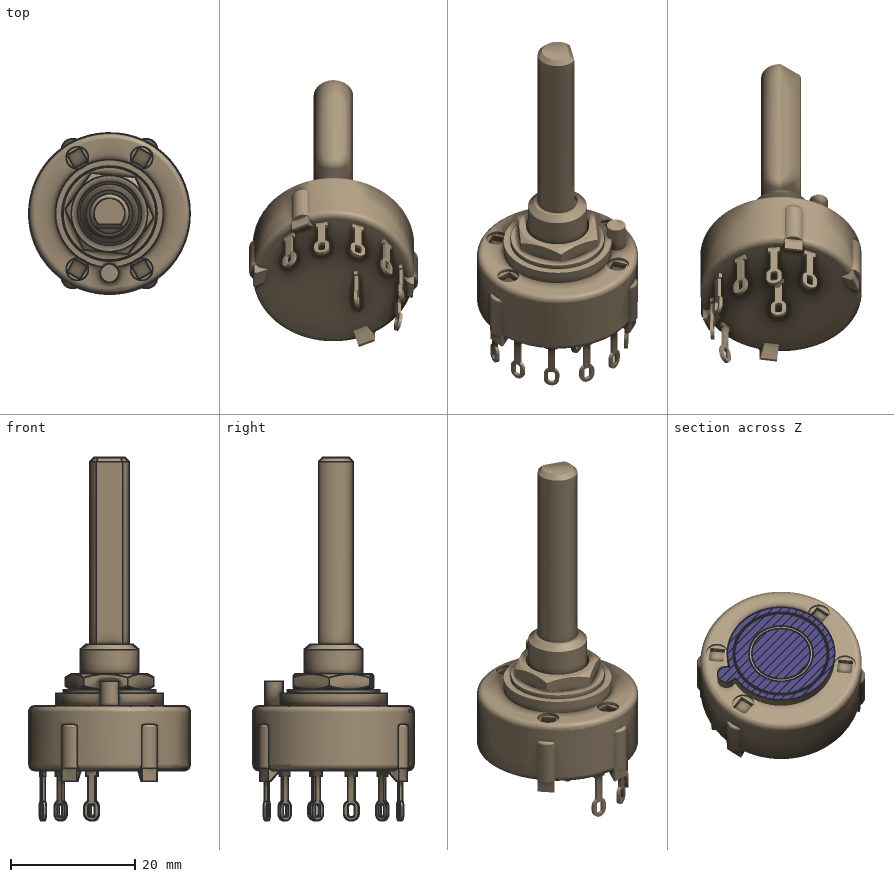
import cadquery as cq
import math


HOUSING_DIAMETER = 26.0
HOUSING_HEIGHT = 10.4
HOUSING_FILLET = 1.0
BOSS_DIAMETER = 17.4
BOSS_HEIGHT = 2.05
RECESS_DIAMETER = 15.3
RECESS_DEPTH = 0.5
BOSS_TOP = HOUSING_HEIGHT + BOSS_HEIGHT
RECESS_FLOOR = BOSS_TOP - RECESS_DEPTH

BUSHING_DIAMETER = 9.5
BUSHING_TOP = 20.35
BUSHING_CHAMFER = 1.0
BUSHING_CHAMFER_HEIGHT = 0.9
SHAFT_DIAMETER = 6.4
SHAFT_CHAMFER = 0.7
FLAT_DISTANCE = 2.4
FLAT_BELOW_BUSHING_TOP = 0.6

PIN_DIAMETER = 3.0
PIN_TOP = 14.4
PIN_RADIUS = 9.6

CORNER_ANGLE = 60
POCKET_RADIUS = 10.35
POCKET_DIAMETER = 3.55
POCKET_DEPTH = 0.5
SLOT_SIZE = 2.4
SLOT_DEPTH = 1.05
RIB_RADIUS = 11.8
RIB_DIAMETER = 3.6
RIB_BOTTOM = 0.35
RIB_TOP = 7.45
RIB_FILLET = 0.4
FOOT_RADIUS = 12.9
FOOT_WIDTH = 2.8
FOOT_DROP = 1.75
FOOT_TIP = 0.4
FOOT_ROOT = 2.5
FOOT_ROOT_INSET = 0.6

NUT_BORE = 10.25
WASHER_DIAMETER = 15.0
WASHER_THICKNESS = 1.1
NUT_THICKNESS = 2.5
NUT_CORNER_DIAMETER = 14.35
NUT_ROTATION = -5.5
NUT_CHAMFER_DIAMETER = 12.3
NUT_CHAMFER_ANGLE = 30

OUTER_COUNT = 6
OUTER_PITCH = 30
FIRST_OUTER_ANGLE = 105
OUTER_RADIUS = 11.1
COMMON_RADIUS = 3.8
COMMON_ANGLE = 225
TERMINAL_THICKNESS = 0.5
STEM_WIDTH = 1.1
SHOULDER_WIDTH = 1.9
SHOULDER_HEIGHT = 0.9
EYE_WIDTH = 2.45
EYE_HEIGHT = 3.3
EYE_HOLE_WIDTH = 1.1
EYE_HOLE_HEIGHT = 2.05
EYE_HOLE_CORNER = 0.35

OVERALL_HEIGHT = 58.5
TERMINAL_LENGTH = 8.1
SHAFT_TOP = OVERALL_HEIGHT - TERMINAL_LENGTH


def cylinder(diameter, bottom, top):
    return cq.Workplane("XY").workplane(offset=bottom).circle(diameter / 2).extrude(top - bottom)


def at_polar(shape, radius, angle):
    """Move a shape out along +X by radius, then swing it around Z."""
    return shape.translate((radius, 0, 0)).rotate((0, 0, 0), (0, 0, 1), angle)


def at_four_corners(shape):
    """A shape in the +X +Y corner and its mirror images in the other three."""
    pair = [shape, shape.mirror("YZ")]
    return pair + [side.mirror("XZ") for side in pair]


def make_shaft():
    bottom = BUSHING_TOP - FLAT_BELOW_BUSHING_TOP
    flat_cutter = (
        cq.Workplane("XY")
        .workplane(offset=bottom)
        .center(0, -FLAT_DISTANCE - SHAFT_DIAMETER / 2)
        .rect(2 * SHAFT_DIAMETER, SHAFT_DIAMETER)
        .extrude(SHAFT_TOP - bottom)
    )
    shaft = cylinder(SHAFT_DIAMETER, bottom, SHAFT_TOP).cut(flat_cutter)
    return shaft.faces(">Z").chamfer(SHAFT_CHAMFER)


def make_bushing():
    bore_bottom = BUSHING_TOP - FLAT_BELOW_BUSHING_TOP
    bushing = cylinder(BUSHING_DIAMETER, RECESS_FLOOR, BUSHING_TOP)
    bushing = bushing.faces(">Z").chamfer(BUSHING_CHAMFER_HEIGHT, BUSHING_CHAMFER)
    return bushing.cut(cylinder(SHAFT_DIAMETER, bore_bottom, BUSHING_TOP))


def make_rib():
    rib = cylinder(RIB_DIAMETER, RIB_BOTTOM, RIB_TOP)
    return rib.faces(">Z").edges().fillet(RIB_FILLET)


def make_foot():
    """Hook with an upright outer face and an inner face that slopes in toward the housing."""
    hook = (
        cq.Workplane("XZ")
        .moveTo(0, RIB_BOTTOM)
        .lineTo(0, -FOOT_DROP)
        .lineTo(-FOOT_TIP, -FOOT_DROP)
        .lineTo(-FOOT_ROOT, RIB_BOTTOM)
        .close()
        .extrude(FOOT_WIDTH / 2, both=True)
    )
    plan = (
        cq.Workplane("XY")
        .workplane(offset=-FOOT_DROP)
        .moveTo(0, -FOOT_WIDTH / 2)
        .lineTo(0, FOOT_WIDTH / 2)
        .lineTo(-FOOT_ROOT, FOOT_WIDTH / 2 - FOOT_ROOT_INSET)
        .lineTo(-FOOT_ROOT, -FOOT_WIDTH / 2)
        .close()
        .extrude(FOOT_DROP + RIB_BOTTOM)
    )
    return hook.intersect(plan)


def make_pocket():
    """Round counterbore with a square slot in its floor."""
    floor = HOUSING_HEIGHT - POCKET_DEPTH
    slot = (
        cq.Workplane("XY")
        .workplane(offset=floor - SLOT_DEPTH)
        .rect(SLOT_SIZE, SLOT_SIZE)
        .extrude(SLOT_DEPTH)
    )
    return cylinder(POCKET_DIAMETER, floor, HOUSING_HEIGHT).union(slot)


def make_housing():
    housing = cylinder(HOUSING_DIAMETER, 0, HOUSING_HEIGHT).edges().fillet(HOUSING_FILLET)
    rib = at_polar(make_rib(), RIB_RADIUS, CORNER_ANGLE)
    foot = at_polar(make_foot(), FOOT_RADIUS, CORNER_ANGLE)
    pocket = at_polar(make_pocket(), POCKET_RADIUS, CORNER_ANGLE)
    for corner in at_four_corners(rib.union(foot)):
        housing = housing.union(corner)
    for corner in at_four_corners(pocket):
        housing = housing.cut(corner)
    boss = cylinder(BOSS_DIAMETER, HOUSING_HEIGHT, BOSS_TOP)
    boss = boss.cut(cylinder(RECESS_DIAMETER, RECESS_FLOOR, BOSS_TOP))
    pin = cylinder(PIN_DIAMETER, HOUSING_HEIGHT, PIN_TOP).translate((0, -PIN_RADIUS, 0))
    return housing.union(boss).union(pin)


def make_nut():
    washer_top = RECESS_FLOOR + WASHER_THICKNESS
    nut_top = washer_top + NUT_THICKNESS
    corner_radius = NUT_CORNER_DIAMETER / 2
    chamfer_radius = NUT_CHAMFER_DIAMETER / 2
    corner_drop = (corner_radius - chamfer_radius) * math.tan(math.radians(NUT_CHAMFER_ANGLE))
    hexagon = (
        cq.Workplane("XY")
        .workplane(offset=washer_top)
        .polygon(6, NUT_CORNER_DIAMETER)
        .extrude(NUT_THICKNESS)
        .rotate((0, 0, 0), (0, 0, 1), NUT_ROTATION)
    )
    chamfer_envelope = (
        cq.Workplane("XZ")
        .moveTo(0, washer_top)
        .lineTo(chamfer_radius, washer_top)
        .lineTo(corner_radius, washer_top + corner_drop)
        .lineTo(corner_radius, nut_top - corner_drop)
        .lineTo(chamfer_radius, nut_top)
        .lineTo(0, nut_top)
        .close()
        .revolve(360, (0, 0, 0), (0, 1, 0))
    )
    washer = cylinder(WASHER_DIAMETER, RECESS_FLOOR, washer_top)
    nut = hexagon.intersect(chamfer_envelope).union(washer)
    return nut.cut(cylinder(NUT_BORE, RECESS_FLOOR, nut_top))


def make_switch_body():
    """Housing, bushing, shaft and nut, joined where they meet."""
    return make_housing().union(make_bushing()).union(make_shaft()).union(make_nut())


def upright_plane(height):
    """Workplane across the X axis, centered on the Z axis at a height."""
    return cq.Workplane("YZ").center(0, height)


def make_terminal(radius, angle):
    """Flat solder lug: shoulder, stem and slotted eye, facing outward."""
    eye_center = EYE_HEIGHT / 2 - TERMINAL_LENGTH
    half = TERMINAL_THICKNESS / 2
    shoulder = upright_plane(-SHOULDER_HEIGHT / 2).rect(SHOULDER_WIDTH, SHOULDER_HEIGHT)
    shoulder = shoulder.extrude(half, both=True)
    stem = upright_plane(eye_center / 2).rect(STEM_WIDTH, -eye_center).extrude(half, both=True)
    eye = upright_plane(eye_center).slot2D(EYE_HEIGHT, EYE_WIDTH, 90).extrude(half, both=True)
    hole = upright_plane(eye_center).rect(EYE_HOLE_WIDTH, EYE_HOLE_HEIGHT).extrude(half, both=True)
    hole = hole.edges("|X").fillet(EYE_HOLE_CORNER)
    terminal = shoulder.union(stem).union(eye).cut(hole)
    return at_polar(terminal, radius, angle)


switch_body = make_switch_body()
terminals = [make_terminal(COMMON_RADIUS, COMMON_ANGLE).val()]
for index in range(OUTER_COUNT):
    terminal_angle = FIRST_OUTER_ANGLE + index * OUTER_PITCH
    terminals.append(make_terminal(OUTER_RADIUS, terminal_angle).val())

result = cq.Compound.makeCompound([switch_body.val(), *terminals])